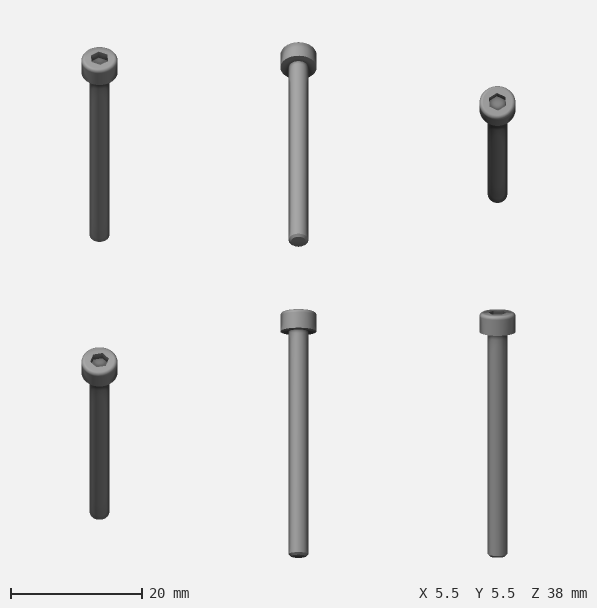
import cadquery as cq
import math

total_length = 38.0
head_diameter = 5.5
head_height = 3.0
head_fillet = 0.55
shank_diameter = 3.0
tip_chamfer = 0.35
socket_across_flats = 2.5
socket_depth = 1.3

shank_length = total_length - head_height
socket_across_corners = socket_across_flats / math.cos(math.pi / 6)

head = (
    cq.Workplane("XY")
    .circle(head_diameter / 2)
    .extrude(head_height)
    .faces(">Z")
    .edges()
    .fillet(head_fillet)
)

shank = (
    cq.Workplane("XY")
    .circle(shank_diameter / 2)
    .extrude(-shank_length)
    .faces("<Z")
    .edges()
    .chamfer(tip_chamfer)
)

socket = (
    cq.Workplane("XY")
    .workplane(offset=head_height)
    .polygon(6, socket_across_corners)
    .extrude(-socket_depth)
)

result = head.union(shank).cut(socket)